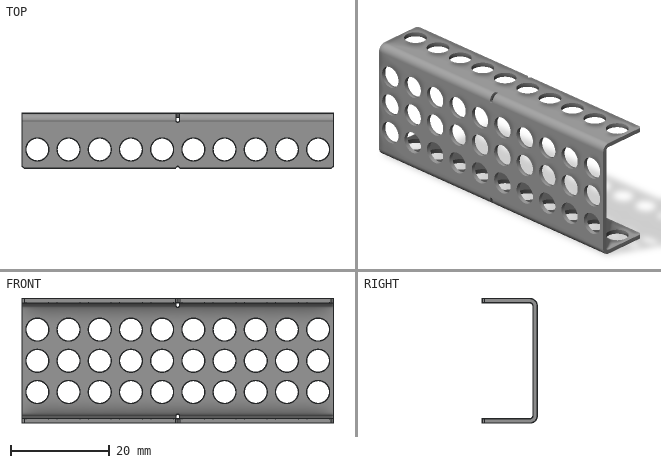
import cadquery as cq

LENGTH = 63.5
DEPTH = 11.25
HEIGHT = 25.4
THICKNESS = 0.914
INNER_BEND_RADIUS = 0.635
OUTER_BEND_RADIUS = INNER_BEND_RADIUS + THICKNESS

HOLE_PITCH = 6.35
HOLE_DIAMETER = 4.62
HOLE_COLUMNS = 10
WEB_ROWS = 3
FLANGE_HOLE_FROM_EDGE = 3.86

CORNER_BEVEL = 0.508
SLOT_WIDTH = 0.7
SLOT_STRAIGHT = 1.48

BACK_Y = DEPTH / 2
FRONT_Y = -DEPTH / 2
HALF_LENGTH = LENGTH / 2
HALF_HEIGHT = HEIGHT / 2
FLANGE_HOLE_Y = FRONT_Y + FLANGE_HOLE_FROM_EDGE
CUT_LENGTH = 2 * HEIGHT


def make_channel():
    """U-section channel with rounded bends along X."""
    outer = (
        cq.Workplane("XY")
        .box(LENGTH, DEPTH, HEIGHT)
        .edges("|X and >Y")
        .fillet(OUTER_BEND_RADIUS)
    )
    inner = (
        cq.Workplane("XY")
        .box(LENGTH, DEPTH, HEIGHT - 2 * THICKNESS)
        .edges("|X and >Y")
        .fillet(INNER_BEND_RADIUS)
        .translate((0, -THICKNESS, 0))
    )
    return outer.cut(inner)


def make_web_holes():
    """Grid of holes through the web, along Y."""
    return (
        cq.Workplane("XZ", origin=(0, BACK_Y, 0))
        .rarray(HOLE_PITCH, HOLE_PITCH, HOLE_COLUMNS, WEB_ROWS)
        .circle(HOLE_DIAMETER / 2)
        .extrude(THICKNESS)
    )


def make_flange_holes():
    """Row of holes through both flanges, along Z."""
    return (
        cq.Workplane("XY", origin=(0, FLANGE_HOLE_Y, 0))
        .rarray(HOLE_PITCH, HOLE_PITCH, HOLE_COLUMNS, 1)
        .circle(HOLE_DIAMETER / 2)
        .extrude(CUT_LENGTH / 2, both=True)
    )


def make_edge_bevel(x):
    """Diamond prism that bevels the free edge of both flanges at x."""
    return (
        cq.Workplane("XY")
        .moveTo(x - CORNER_BEVEL, FRONT_Y)
        .lineTo(x, FRONT_Y + CORNER_BEVEL)
        .lineTo(x + CORNER_BEVEL, FRONT_Y)
        .lineTo(x, FRONT_Y - CORNER_BEVEL)
        .close()
        .extrude(CUT_LENGTH / 2, both=True)
    )


def make_bend_slot(side):
    """Slot across one bend at mid length, round-ended in web and flange; side is +1 or -1 in Z."""
    corner_z = side * HALF_HEIGHT
    slot_length = 2 * SLOT_STRAIGHT + SLOT_WIDTH
    through_web = (
        cq.Workplane("XZ", origin=(0, BACK_Y, corner_z))
        .slot2D(slot_length, SLOT_WIDTH, 90)
        .extrude(OUTER_BEND_RADIUS)
    )
    through_flange = (
        cq.Workplane("XY", origin=(0, BACK_Y, corner_z))
        .slot2D(slot_length, SLOT_WIDTH, 90)
        .extrude(-side * OUTER_BEND_RADIUS)
    )
    return through_web.union(through_flange)


result = make_channel().cut(make_web_holes()).cut(make_flange_holes())
for bevel_x in (-HALF_LENGTH, 0, HALF_LENGTH):
    result = result.cut(make_edge_bevel(bevel_x))
for z_side in (1, -1):
    result = result.cut(make_bend_slot(z_side))